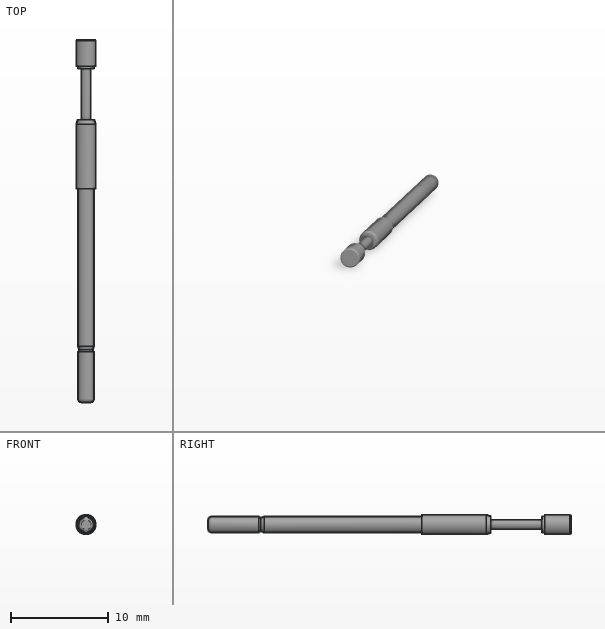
import cadquery as cq

total_length = 37.3
head_length = 3.0
neck_length = 0.25
collar_front_offset = 8.25
collar_length = 7.1

head_diameter = 2.0
neck_diameter = 1.7
plunger_diameter = 1.0
collar_diameter = head_diameter
barrel_diameter = 1.68

head_face_chamfer = 0.1
neck_fillet = 0.1
collar_lead_length = 0.45
collar_lead_depth = 0.15
tail_radius = 0.4

groove_start = 5.22
groove_step_depth = 0.07
groove_depth = 0.13
groove_floor_length = 0.22
groove_flank_length = 0.35

head_radius = head_diameter / 2
neck_radius = neck_diameter / 2
plunger_radius = plunger_diameter / 2
collar_radius = collar_diameter / 2
barrel_radius = barrel_diameter / 2

neck_back = total_length - head_length
head_back = neck_back + neck_length
collar_front = total_length - collar_front_offset
collar_back = collar_front - collar_length


def cylinder_along_y(radius, start, end):
    """Solid cylinder on the Y axis between two Y positions."""
    plane = cq.Workplane("XZ", origin=(0, start, 0))
    return plane.circle(radius).extrude(start - end)


def make_groove():
    """Ring of material removed from the barrel by the snap groove."""
    deepest = groove_start + groove_floor_length
    return (
        cq.Workplane("XY")
        .moveTo(barrel_radius, groove_start)
        .lineTo(barrel_radius - groove_step_depth, groove_start)
        .lineTo(barrel_radius - groove_depth, deepest)
        .lineTo(barrel_radius, deepest + groove_flank_length)
        .close()
        .revolve(360, (0, 0, 0), (0, 1, 0))
    )


def make_barrel():
    """Barrel with a rounded tail and a snap groove."""
    barrel = cylinder_along_y(barrel_radius, 0, collar_front)
    barrel = barrel.faces("<Y").edges().fillet(tail_radius)
    return barrel.cut(make_groove())


def make_collar():
    """Collar with a shallow lead-in taper at its front."""
    collar = cylinder_along_y(collar_radius, collar_back, collar_front)
    return collar.faces(">Y").chamfer(collar_lead_length, collar_lead_depth)


def make_plunger():
    """Thin shaft carrying the contact head on a short rounded neck."""
    shaft = cylinder_along_y(plunger_radius, collar_front, neck_back)
    neck = cylinder_along_y(neck_radius, neck_back, head_back)
    neck = neck.faces("<Y").edges().fillet(neck_fillet)
    head = cylinder_along_y(head_radius, head_back, total_length)
    head = head.faces(">Y").chamfer(head_face_chamfer)
    return shaft.union(neck).union(head)


result = make_barrel().union(make_collar()).union(make_plunger())